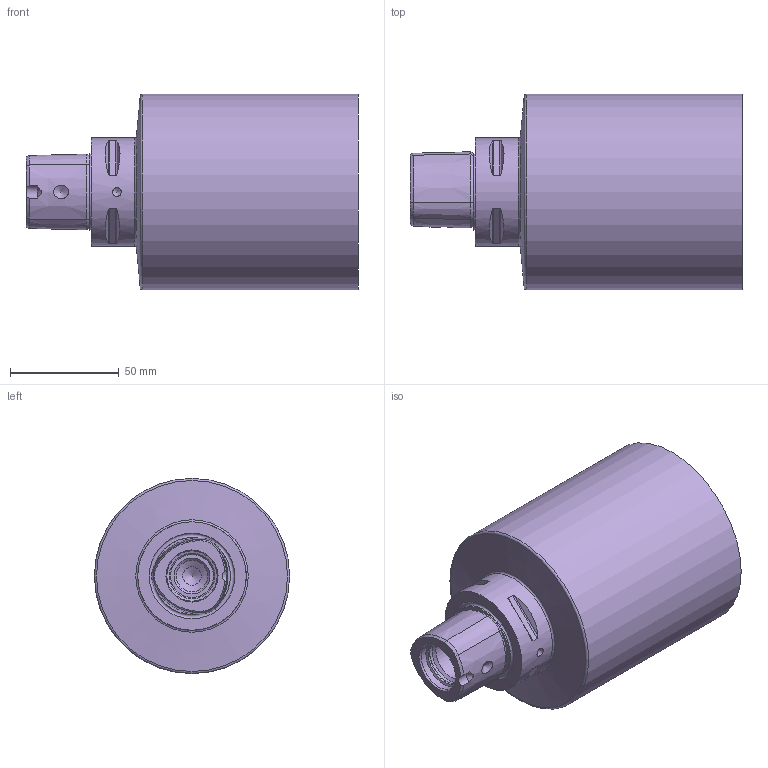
import cadquery as cq
import math

total_length = 153.0
shank_length = 30.0
collar_end = 50.9
shoulder_outer_start = 52.6

body_diameter = 90.0
body_edge_fillet = 1.0
collar_diameter = 50.0
collar_root_fillet = 0.9

lobe_reach = 18.6
flat_reach = 16.6
lobe_radius = 10.25
taper_ratio = 1 / 40
polygon_length = 27.8
tip_chamfer_length = 1.4
tip_chamfer_depth = 0.6

neck_radius = 17.7
neck_start = 29.4
relief_outer_radius = 19.7

mouth_diameter = 24.0
mouth_chamfer_depth = 1.0
counterbore_diameter = 23.2
counterbore_depth = 4.1
land_diameter = 21.0
land_start = 4.55
land_end = 5.5
groove_diameter = 22.2
groove_start = 6.1
groove_end = 7.6
bore_diameter = 19.8
bore_start = 8.9
bore_depth = 30.0
screw_hole_diameter = 14.5
screw_hole_mouth_diameter = 16.5
screw_hole_depth = 42.0
pilot_diameter = 8.5
pilot_depth = 50.0
drill_half_angle = 59.0
notch_half_angle = 45.0

dimple_x = 16.0
dimple_apex_radius = 14.25
notch_diameter = 6.1
notch_axis_offset = 17.0
notch_length = 5.1
collar_hole_diameter = 4.0
collar_hole_x = 41.9
collar_hole_depth = 3.0

slot_x = 39.9
slot_floor_width = 3.7
slot_floor_fillet = 0.8
slot_wall_angle = 30.0
slot_floor_distance = 22.25
slot_count = 4
slot_overcut = 1.0


def drill(diameter, depth, half_angle=drill_half_angle):
    """Drill-shaped cutter along +X, with its cylindrical part starting at the origin."""
    radius = diameter / 2
    tip = depth + radius / math.tan(math.radians(half_angle))
    profile = [(0, 0), (0, radius), (depth, radius), (tip, 0)]
    return cq.Workplane("XY").polyline(profile).close().revolve(360, (0, 0, 0), (1, 0, 0))


def polygon_wire(x, inset):
    """Three-lobed outline of six tangent arcs at a position x, offset inwards by inset."""
    lobe_offset = lobe_reach - lobe_radius
    rise = flat_reach - lobe_radius
    flat_offset = (lobe_offset**2 - rise**2) / (2 * rise - lobe_offset)
    joint_angle = math.degrees(
        math.atan2(flat_offset * math.sin(math.pi / 3), lobe_offset + flat_offset * math.cos(math.pi / 3))
    )

    def point(angle, joint_from_lobe):
        """Point on a lobe arc whose normal is joint_from_lobe away from the lobe direction."""
        normal = math.radians(angle + joint_from_lobe)
        center = math.radians(angle)
        radius = lobe_radius - inset
        return (
            lobe_offset * math.cos(center) + radius * math.cos(normal),
            lobe_offset * math.sin(center) + radius * math.sin(normal),
        )

    outline = cq.Workplane("YZ", origin=(x, 0, 0)).moveTo(*point(0, -joint_angle))
    for lobe_angle in (0, 120, 240):
        side = math.radians(lobe_angle + 60)
        side_middle = ((flat_reach - inset) * math.cos(side), (flat_reach - inset) * math.sin(side))
        outline = outline.threePointArc(point(lobe_angle, 0), point(lobe_angle, joint_angle))
        outline = outline.threePointArc(side_middle, point(lobe_angle + 120, -joint_angle))
    return outline.close().wire().val()


def polygon_section(start, start_inset, end, end_inset):
    wires = [polygon_wire(start, start_inset), polygon_wire(end, end_inset)]
    return cq.Workplane(obj=cq.Solid.makeLoft(wires, True))


def make_shank():
    chamfer_inset = taper_ratio * (polygon_length - tip_chamfer_length)
    tip = polygon_section(0, chamfer_inset + tip_chamfer_depth, tip_chamfer_length, chamfer_inset)
    cone = polygon_section(tip_chamfer_length, chamfer_inset, polygon_length, 0)
    root = polygon_section(polygon_length, 0, neck_start, lobe_reach - neck_radius)
    return tip.union(cone).union(root)


def make_turned_body():
    body_radius = body_diameter / 2
    collar_radius = collar_diameter / 2
    groove_radius = (relief_outer_radius - neck_radius) / 2
    fillet_end = shoulder_outer_start + body_edge_fillet
    profile = (
        cq.Workplane("XY")
        .moveTo(neck_start, 0)
        .lineTo(neck_start, neck_radius)
        .lineTo(shank_length, neck_radius)
        .threePointArc(
            (shank_length + groove_radius, neck_radius + groove_radius),
            (shank_length, relief_outer_radius),
        )
        .lineTo(shank_length, collar_radius)
        .lineTo(collar_end - collar_root_fillet, collar_radius)
        .radiusArc((collar_end, collar_radius + collar_root_fillet), -collar_root_fillet)
        .lineTo(shoulder_outer_start, body_radius - body_edge_fillet)
        .radiusArc((fillet_end, body_radius), body_edge_fillet)
        .lineTo(total_length, body_radius)
        .lineTo(total_length, 0)
        .close()
    )
    return profile.revolve(360, (0, 0, 0), (1, 0, 0))


def make_bore():
    counterbore_radius = counterbore_diameter / 2
    land_radius = land_diameter / 2
    groove_radius = groove_diameter / 2
    bore_radius = bore_diameter / 2
    screw_radius = screw_hole_diameter / 2
    screw_mouth_radius = screw_hole_mouth_diameter / 2
    profile = [
        (0, 0),
        (0, mouth_diameter / 2),
        (mouth_chamfer_depth, counterbore_radius),
        (counterbore_depth, counterbore_radius),
        (land_start, land_radius),
        (land_end, land_radius),
        (groove_start, groove_radius),
        (groove_end, groove_radius),
        (bore_start, bore_radius),
        (bore_depth, bore_radius),
        (bore_depth, screw_mouth_radius),
        (bore_depth + screw_mouth_radius - screw_radius, screw_radius),
        (bore_depth + screw_mouth_radius - screw_radius, 0),
    ]
    bore = cq.Workplane("XY").polyline(profile).close().revolve(360, (0, 0, 0), (1, 0, 0))
    return bore.union(drill(screw_hole_diameter, screw_hole_depth)).union(drill(pilot_diameter, pilot_depth))


def make_dimple():
    """Conical dimple opening towards -Y, with its apex inside the shank."""
    height = lobe_reach - dimple_apex_radius
    mouth_radius = height * math.tan(math.radians(drill_half_angle))
    apex = cq.Vector(dimple_x, -dimple_apex_radius, 0)
    return cq.Workplane(obj=cq.Solid.makeCone(0, mouth_radius, height, apex, cq.Vector(0, -1, 0)))


def make_collar_hole():
    """Blind drilled hole entering the collar from -Y."""
    start = collar_diameter
    cutter = drill(collar_hole_diameter, start - collar_diameter / 2 + collar_hole_depth)
    return cutter.rotate((0, 0, 0), (0, 0, 1), 90).translate((collar_hole_x, -start, 0))


def make_tip_notch():
    return drill(notch_diameter, notch_length, notch_half_angle).translate((0, -notch_axis_offset, 0))


def make_slots():
    slot_height = collar_diameter / 2 - slot_floor_distance + slot_overcut
    half_floor = slot_floor_width / 2
    half_top = half_floor + slot_height * math.tan(math.radians(slot_wall_angle))
    top = slot_floor_distance + slot_height
    profile = [
        (slot_x - half_floor, slot_floor_distance),
        (slot_x + half_floor, slot_floor_distance),
        (slot_x + half_top, top),
        (slot_x - half_top, top),
    ]
    slot = cq.Workplane("XZ").polyline(profile).close().extrude(collar_diameter / 2, both=True)
    slot = slot.faces("<Z").edges("|Y").fillet(slot_floor_fillet)
    slots = cq.Workplane()
    for index in range(slot_count):
        angle = (index + 0.5) * 360 / slot_count
        slots = slots.add(slot.rotate((0, 0, 0), (1, 0, 0), angle))
    return slots.combine()


result = make_turned_body().union(make_shank())
result = result.cut(make_bore())
result = result.cut(make_dimple())
result = result.cut(make_collar_hole())
result = result.cut(make_tip_notch())
result = result.cut(make_slots())